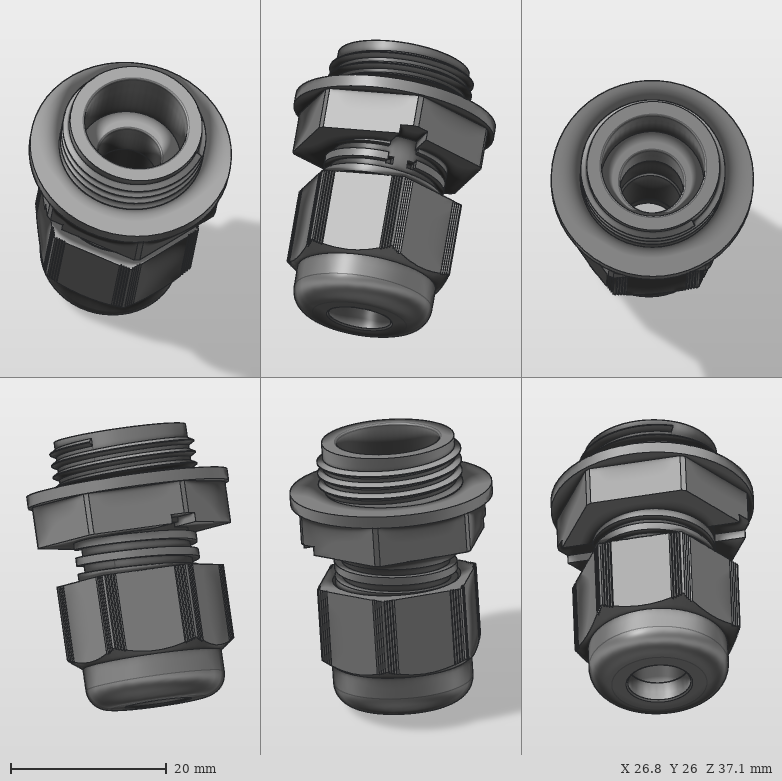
import cadquery as cq
import math


TILT_AXIS_DIRECTION = math.radians(62)
TILT_ANGLE = 9.8
SPIN_ANGLE = 1.1
TILT_AXIS = (math.cos(TILT_AXIS_DIRECTION), math.sin(TILT_AXIS_DIRECTION), 0)

ENTRY_HEIGHT = 6.45
ENTRY_CORE_DIAMETER = 17.05
ENTRY_THREAD_DIAMETER = 18.6
ENTRY_CREST_WIDTH = 0.1
ENTRY_PITCH = 1.5
THREAD_FLANK_ANGLE = 30
ENTRY_TURNS = 4
ENTRY_THREAD_START = -0.7
FLANGE_DIAMETER = 26.0
FLANGE_THICKNESS = 1.52
BODY_HEX_FLATS = 22.0
BODY_HEX_CORNER_FLAT = 0.7
HEX_BOTTOM = -6.82

CORE_DIAMETER = 13.9
CORE_BOTTOM = -23.0
NUT_THREAD_DIAMETER = 15.75
NUT_THREAD_PITCH = 2.1
NUT_THREAD_WIDTH = 1.05
NUT_THREAD_TURNS = 5
NUT_THREAD_START = -15.9
SLOT_ANGLE = 240
SLOT_WIDTH = 3.8
SLOT_OFFSET = 0.1
SLOT_BOTTOM = -10.05
NOTCH_WIDTH = 3.65
NOTCH_HEIGHT = 1.15
WINDOW_SPREAD = 3.7
WINDOW_WIDTH = 0.9
WINDOW_HEIGHT = 0.95
WINDOW_CENTRE_Z = -9.0

ENTRY_BORE_DIAMETER = 13.28
ENTRY_BORE_DEPTH = 8.12
ENTRY_BORE_ROUNDING = 0.22
PASSAGE_DIAMETER = 8.2
PASSAGE_ROUNDING = 0.22
SEAL_SEAT_Z = -6.85
SEAL_DIAMETER = 11.25

NUT_TOP = -12.1
NUT_HEX_FLATS = 18.9
NUT_CORNER_FLAT = 0.4
GROOVE_WIDTH = 0.352
GROOVES_PER_SIDE_END = 4
GROOVE_DEPTH = 0.22
NUT_CHAMFER_TOP = -21.5
NUT_NECK_TOP = -22.95
NUT_BOTTOM = -28.6
NECK_DIAMETER = 17.95
NECK_FILLET = 2.85
NUT_BORE_CHAMFER = 0.37
NUT_FLOOR = 2.75
NUT_HOLE_TOP_DIAMETER = 7.83
NUT_HOLE_DIAMETER = 8.12
NUT_HOLE_CHAMFER = 0.22

SEAL_TOP_HOLE_DIAMETER = 8.65
SEAL_HOLE_DIAMETER = 7.97
SEAL_MOUTH_ROUNDING = 0.2
SEAL_STEP_Z = -13.95

HEX_SIDES = 6
HEX_SIDE_ANGLE = 360 / HEX_SIDES
HEX_CORNER_RATIO = 2 / math.sqrt(3)
THREAD_ROOT_OVERLAP = 0.07


def cylinder(diameter, bottom, top):
    return cq.Workplane("XY").workplane(offset=bottom).circle(diameter / 2).extrude(top - bottom)


def cone(bottom_radius, top_radius, bottom, top):
    return cq.Workplane(cq.Solid.makeCone(bottom_radius, top_radius, top - bottom, pnt=(0, 0, bottom)))


def rounded_mouth(diameter, rounding, top):
    """Cutter that rounds the upper edge of a hole."""
    radius = diameter / 2
    mouth_radius = radius + rounding
    arc_middle = (
        mouth_radius - rounding * math.cos(math.radians(45)),
        top - rounding + rounding * math.sin(math.radians(45)),
    )
    profile = cq.Workplane("XZ").moveTo(0, top).lineTo(mouth_radius, top)
    profile = profile.threePointArc(arc_middle, (radius, top - rounding)).lineTo(0, top - rounding).close()
    return profile.revolve(360, (0, 0, 0), (0, 1, 0))


def blunt_hexagon(flats, corner_flat, bottom, top):
    """Hexagon with corners on the X axis, each corner cut to a narrow flat."""
    corner_cut = corner_flat / 2 / math.tan(math.radians(HEX_SIDE_ANGLE))
    blunt_flats = flats * HEX_CORNER_RATIO - 2 * corner_cut
    plane = cq.Workplane("XY").workplane(offset=bottom)
    hexagon = plane.polygon(HEX_SIDES, flats * HEX_CORNER_RATIO).extrude(top - bottom)
    corner_cutter = plane.polygon(HEX_SIDES, blunt_flats * HEX_CORNER_RATIO).extrude(top - bottom)
    return hexagon.intersect(corner_cutter.rotate((0, 0, 0), (0, 0, 1), HEX_SIDE_ANGLE / 2))


def thread_ridge(profile, pitch, turns, start, left_hand=False):
    """Sweep a profile of (radius, height) points along a helix that starts at angle 0."""
    helix = cq.Wire.makeHelix(pitch, pitch * turns, profile[0][0], lefthand=left_hand)
    ridge = cq.Workplane("XZ").polyline(profile).close().sweep(cq.Workplane(helix), isFrenet=True)
    return ridge.translate((0, 0, start))


def entry_thread():
    root_radius = ENTRY_CORE_DIAMETER / 2 - THREAD_ROOT_OVERLAP
    crest_radius = ENTRY_THREAD_DIAMETER / 2
    half_crest = ENTRY_CREST_WIDTH / 2
    half_root = half_crest + (crest_radius - root_radius) * math.tan(math.radians(THREAD_FLANK_ANGLE))
    profile = [
        (root_radius, -half_root),
        (crest_radius, -half_crest),
        (crest_radius, half_crest),
        (root_radius, half_root),
    ]
    return thread_ridge(profile, ENTRY_PITCH, ENTRY_TURNS, ENTRY_THREAD_START)


def nut_thread():
    root_radius = CORE_DIAMETER / 2 - THREAD_ROOT_OVERLAP
    crest_radius = NUT_THREAD_DIAMETER / 2
    half_width = NUT_THREAD_WIDTH / 2
    profile = [
        (root_radius, -half_width),
        (crest_radius, -half_width),
        (crest_radius, half_width),
        (root_radius, half_width),
    ]
    return thread_ridge(profile, NUT_THREAD_PITCH, NUT_THREAD_TURNS, NUT_THREAD_START, left_hand=True)


def radial_block(width, offset, angle, bottom, top):
    """Block from the axis outwards at an angle, shifted sideways by the offset."""
    block = cq.Workplane("XY").box(BODY_HEX_FLATS, width, top - bottom, centered=(False, True, False))
    return block.translate((0, offset, bottom)).rotate((0, 0, 0), (0, 0, 1), angle)


def notched_hexagon():
    hexagon = blunt_hexagon(BODY_HEX_FLATS, BODY_HEX_CORNER_FLAT, HEX_BOTTOM, -FLANGE_THICKNESS)
    for angle in (SLOT_ANGLE, SLOT_ANGLE + 180):
        hexagon = hexagon.cut(radial_block(NOTCH_WIDTH, 0, angle, HEX_BOTTOM, HEX_BOTTOM + NOTCH_HEIGHT))
    return hexagon


def slotted_nut_thread():
    """Nut thread with its two uppermost free turns interrupted by the slot."""
    slot = radial_block(SLOT_WIDTH, SLOT_OFFSET, SLOT_ANGLE, SLOT_BOTTOM, HEX_BOTTOM + NOTCH_HEIGHT)
    return nut_thread().cut(slot)


def core_window(side):
    """Small opening through the core wall, beside one wall of the slot (side is -1 or 1)."""
    offset = SLOT_OFFSET + side * (WINDOW_SPREAD - WINDOW_WIDTH) / 2
    bottom = WINDOW_CENTRE_Z - WINDOW_HEIGHT / 2
    return radial_block(WINDOW_WIDTH, offset, SLOT_ANGLE, bottom, bottom + WINDOW_HEIGHT)


def body_bores():
    floor = ENTRY_HEIGHT - ENTRY_BORE_DEPTH
    bores = cylinder(ENTRY_BORE_DIAMETER, floor, ENTRY_HEIGHT)
    bores = bores.union(rounded_mouth(ENTRY_BORE_DIAMETER, ENTRY_BORE_ROUNDING, ENTRY_HEIGHT))
    bores = bores.union(cylinder(PASSAGE_DIAMETER, SEAL_SEAT_Z, floor))
    bores = bores.union(rounded_mouth(PASSAGE_DIAMETER, PASSAGE_ROUNDING, floor))
    return bores.union(cylinder(SEAL_DIAMETER, CORE_BOTTOM, SEAL_SEAT_Z))


def make_body():
    entry = cylinder(ENTRY_CORE_DIAMETER, -FLANGE_THICKNESS, ENTRY_HEIGHT).union(entry_thread())
    core = cylinder(CORE_DIAMETER, CORE_BOTTOM, -FLANGE_THICKNESS).union(slotted_nut_thread())
    body = notched_hexagon().union(core)
    body = body.union(cylinder(FLANGE_DIAMETER, -FLANGE_THICKNESS, 0)).union(entry)
    body = body.cut(body_bores())
    for side in (-1, 1):
        body = body.cut(core_window(side))
    return body


def grooved_hexagon(bottom, top):
    """Hexagon with blunt corners and grip grooves along both ends of every side."""
    apothem = NUT_HEX_FLATS / 2
    half_side = apothem / math.sqrt(3) - NUT_CORNER_FLAT / math.sqrt(3)
    crests = [half_side - GROOVE_WIDTH * i for i in range(GROOVES_PER_SIDE_END + 1)]
    half_profile = []
    for crest in crests[:-1]:
        half_profile.append((apothem, crest))
        half_profile.append((apothem - GROOVE_DEPTH, crest - GROOVE_WIDTH / 2))
    half_profile.append((apothem, crests[-1]))
    mirrored = [(across, -along) for across, along in half_profile]
    side = mirrored + half_profile[::-1]
    outline = []
    for i in range(HEX_SIDES):
        angle = math.radians(HEX_SIDE_ANGLE * (i + 0.5))
        for across, along in side:
            x = across * math.cos(angle) - along * math.sin(angle)
            y = across * math.sin(angle) + along * math.cos(angle)
            outline.append((x, y))
    return cq.Workplane("XY").workplane(offset=bottom).polyline(outline).close().extrude(top - bottom)


def make_nut():
    corner_radius = NUT_HEX_FLATS * HEX_CORNER_RATIO / 2
    bore_radius = NUT_THREAD_DIAMETER / 2
    hole_radius = NUT_HOLE_DIAMETER / 2
    hexagon = grooved_hexagon(NUT_NECK_TOP, NUT_TOP)
    envelope = cylinder(2 * corner_radius, NUT_CHAMFER_TOP, NUT_TOP).union(
        cone(NECK_DIAMETER / 2, corner_radius, NUT_NECK_TOP, NUT_CHAMFER_TOP)
    )
    neck = cylinder(NECK_DIAMETER, NUT_BOTTOM, NUT_NECK_TOP).faces("<Z").edges().fillet(NECK_FILLET)
    nut = hexagon.intersect(envelope).union(neck)
    nut = nut.cut(cylinder(NUT_THREAD_DIAMETER, NUT_BOTTOM + NUT_FLOOR, NUT_TOP))
    nut = nut.cut(cone(bore_radius, bore_radius + NUT_BORE_CHAMFER, NUT_TOP - NUT_BORE_CHAMFER, NUT_TOP))
    nut = nut.cut(cone(hole_radius, NUT_HOLE_TOP_DIAMETER / 2, NUT_BOTTOM, NUT_BOTTOM + NUT_FLOOR))
    return nut.cut(cone(hole_radius + NUT_HOLE_CHAMFER, hole_radius, NUT_BOTTOM, NUT_BOTTOM + NUT_HOLE_CHAMFER))


def make_seal():
    bottom = NUT_BOTTOM + NUT_FLOOR
    seal = cylinder(SEAL_DIAMETER, bottom, SEAL_SEAT_Z)
    seal = seal.cut(rounded_mouth(SEAL_TOP_HOLE_DIAMETER, SEAL_MOUTH_ROUNDING, SEAL_SEAT_Z))
    seal = seal.cut(cylinder(SEAL_HOLE_DIAMETER, bottom, SEAL_SEAT_Z))
    return seal.cut(cylinder(SEAL_TOP_HOLE_DIAMETER, SEAL_STEP_Z, SEAL_SEAT_Z))


def tilted(part):
    """Turn a part about its own axis, lean it over and return its solid."""
    turned = part.rotate((0, 0, 0), (0, 0, 1), SPIN_ANGLE)
    return turned.rotate((0, 0, 0), TILT_AXIS, TILT_ANGLE).solids().val()


body = tilted(make_body())
nut = tilted(make_nut())
seal = tilted(make_seal())

result = cq.Compound.makeCompound([body, nut, seal])